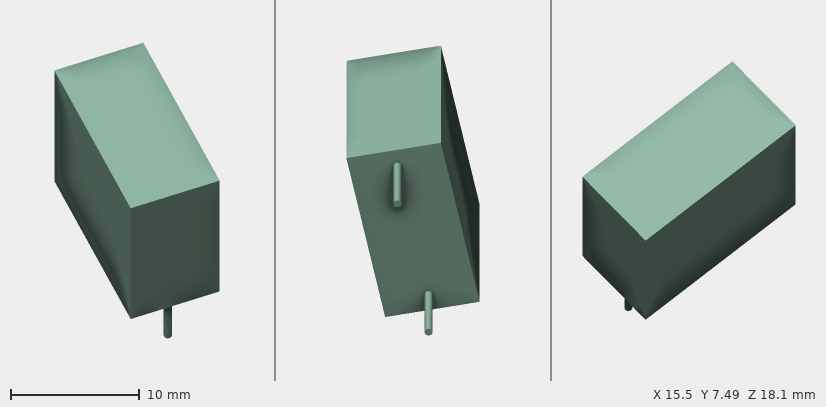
import cadquery as cq

case_length = 15.49
case_width = 7.49
case_height = 13.0
total_height = 18.09

lead_diameter = 0.63
lead_spacing = 12.5
lead_length = total_height - case_height


def make_case():
    """Rectangular case standing on the XY plane."""
    return cq.Workplane("XY").box(case_length, case_width, case_height, centered=(True, True, False))


def make_lead(x):
    """Round lead hanging from the underside of the case."""
    return cq.Workplane("XY").center(x, 0).circle(lead_diameter / 2).extrude(-lead_length)


case = make_case()
leads = [make_lead(side * lead_spacing / 2) for side in (-1, 1)]

result = cq.Compound.makeCompound([case.val(), *[lead.val() for lead in leads]])